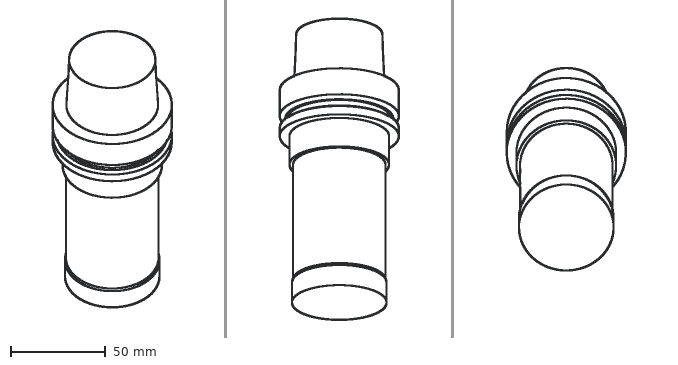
import cadquery as cq

flange_diameter = 63.0
groove_diameter = 55.0
collar_diameter = 52.6
shank_diameter = 48.8
foot_diameter = 50.0
nose_base_diameter = 48.5
nose_middle_diameter = 46.7
nose_top_diameter = 45.6

foot_edge_z = 11.4
foot_top_z = 12.8
shank_top_z = 78.1
lower_flange_bottom_z = 94.2
lower_flange_edge_z = 99.0
groove_bottom_z = 100.2
groove_top_z = 104.0
upper_flange_edge_z = 105.6
upper_flange_top_z = 120.4
total_height = 152.0

lower_bevel_width = 2.1
upper_bevel_width = 2.9

flange_radius = flange_diameter / 2
groove_radius = groove_diameter / 2
collar_radius = collar_diameter / 2
shank_radius = shank_diameter / 2
foot_radius = foot_diameter / 2
nose_middle = (nose_middle_diameter / 2, (upper_flange_top_z + total_height) / 2)
nose_top = (nose_top_diameter / 2, total_height)

profile = (
    cq.Workplane("XZ")
    .lineTo(foot_radius, 0)
    .lineTo(foot_radius, foot_edge_z)
    .lineTo(shank_radius, foot_top_z)
    .lineTo(shank_radius, shank_top_z)
    .lineTo(collar_radius, shank_top_z)
    .lineTo(collar_radius, lower_flange_bottom_z)
    .lineTo(flange_radius, lower_flange_bottom_z)
    .lineTo(flange_radius, lower_flange_edge_z)
    .lineTo(flange_radius - lower_bevel_width, groove_bottom_z)
    .lineTo(groove_radius, groove_bottom_z)
    .lineTo(groove_radius, groove_top_z)
    .lineTo(flange_radius - upper_bevel_width, groove_top_z)
    .lineTo(flange_radius, upper_flange_edge_z)
    .lineTo(flange_radius, upper_flange_top_z)
    .lineTo(nose_base_diameter / 2, upper_flange_top_z)
    .threePointArc(nose_middle, nose_top)
    .lineTo(0, total_height)
    .close()
)

result = profile.revolve(360, (0, 0, 0), (0, 1, 0))